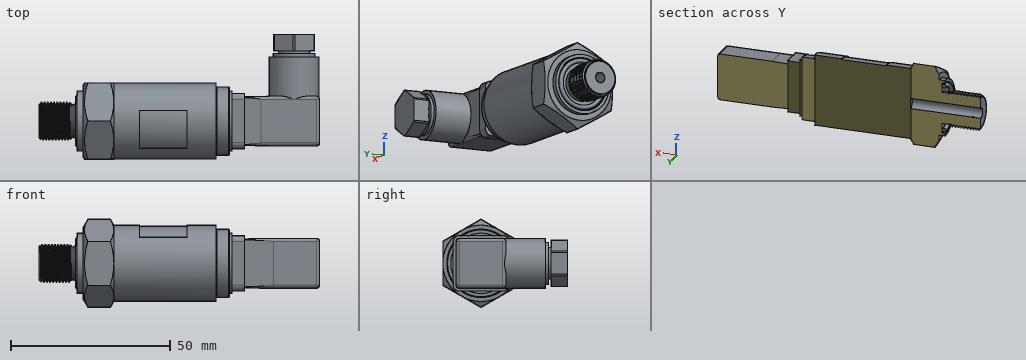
import cadquery as cq
import math


THREAD_END = 10.4
ORING_START = 11.6
FLANGE_START = 12.0
HEX_START = 13.95
BARREL_START = 23.6
CAP_START = 55.7
DISC_START = 59.9
BASE_START = 60.7
PLUG_START = 64.7
PLUG_END = 88.3

THREAD_DIA = 11.9
ROOT_DIA = 10.8
TIP_DIA = 10.4
THREAD_PITCH = 1.0
CREST_WIDTH = THREAD_PITCH / 8
ROOT_WIDTH = THREAD_PITCH / 4
FIRST_CREST = 0.06
GROOVE_OVERCUT = 0.04
RELIEF_DIA = 10.4
RELIEF_END = 11.0
NECK_DIA = 10.8
BORE_DIA = 3.3

FLANGE_DIA = 19.0
SEAL_GROOVE_DIA = 16.95
ORING_DIA = 16.3
ORING_SECTION = 1.4

BARREL_DIA = 24.0
HEX_FLATS = BARREL_DIA
HEX_FACE_DIA = 22.6
HEX_CHAMFER_ANGLE = 30
PANEL_START = 31.7
PANEL_END = 46.6
PANEL_FROM_ANGLE = 43.9
PANEL_TO_ANGLE = 106.2
PANEL_DEPTH = 0.3

CAP_DIA = 21.5
CAP_CHAMFER = 0.3
DISC_DIA = 19.0
BASE_SIZE = 17.5
BASE_CORNER = 1.9

PLUG_SIZE = 15.7
PLUG_FILLET = 1.1
TAPER_DEPTH = 0.2
SIDE_TAPER_END = 73.8
TOP_TAPER_END = 69.8
OUTLET_X = 80.25
OUTLET_DIA = PLUG_SIZE
OUTLET_END = 20.2

WASHER_DIA = 13.2
WASHER_END = 21.3
SHANK_DIA = 10.0
NUT_START = 22.1
NUT_END = 27.3
NUT_FLATS = 13.0
NUT_CORNER_DIA = 14.65


def x_cylinder(diameter, start, end):
    return cq.Workplane("YZ", origin=(start, 0, 0)).circle(diameter / 2).extrude(end - start)


def y_cylinder(diameter, start, end):
    """Cylinder on the cable outlet axis, from y = start to y = end."""
    plane = cq.Plane(origin=(OUTLET_X, start, 0), xDir=(1, 0, 0), normal=(0, 1, 0))
    return cq.Workplane(plane).circle(diameter / 2).extrude(end - start)


def turned(profile):
    """Solid of revolution about the X axis from (x, radius) points."""
    return cq.Workplane("XY").polyline(profile).close().revolve(360, (0, 0, 0), (1, 0, 0))


def groove_turn():
    """One right-handed turn of the V groove about X, starting at +Z and x = 0."""
    crest_radius = THREAD_DIA / 2
    root_radius = ROOT_DIA / 2
    crest_gap = THREAD_PITCH - CREST_WIDTH
    flank_slope = (crest_gap - ROOT_WIDTH) / 2 / (crest_radius - root_radius)
    outer_half_width = crest_gap / 2 + GROOVE_OVERCUT * flank_slope
    helix = cq.Wire.makeHelix(THREAD_PITCH, THREAD_PITCH, root_radius)
    groove = (
        cq.Workplane("XZ")
        .polyline([
            (root_radius, -ROOT_WIDTH / 2),
            (crest_radius + GROOVE_OVERCUT, -outer_half_width),
            (crest_radius + GROOVE_OVERCUT, outer_half_width),
            (root_radius, ROOT_WIDTH / 2),
        ])
        .close()
        .sweep(cq.Workplane("XY").newObject([helix]), isFrenet=True)
    )
    return groove.rotate((0, 0, 0), (0, 0, 1), 180).rotate((0, 0, 0), (0, 1, 0), 90)


def threaded_stem():
    """Thread chamfered at both ends, then a shallow relief and a short neck."""
    tip_chamfer = (THREAD_DIA - TIP_DIA) / 2
    run_out = (THREAD_DIA - RELIEF_DIA) / 2
    shank = turned([
        (0, 0),
        (0, TIP_DIA / 2),
        (tip_chamfer, THREAD_DIA / 2),
        (THREAD_END - run_out, THREAD_DIA / 2),
        (THREAD_END, RELIEF_DIA / 2),
        (THREAD_END, 0),
    ])
    groove = groove_turn()
    groove_start = FIRST_CREST - THREAD_PITCH / 2
    turns = math.ceil((THREAD_END - groove_start) / THREAD_PITCH)
    for turn in range(turns):
        shank = shank.cut(groove.translate((groove_start + turn * THREAD_PITCH, 0, 0)), clean=False)
    relief = x_cylinder(RELIEF_DIA, THREAD_END, RELIEF_END)
    neck = x_cylinder(NECK_DIA, RELIEF_END, HEX_START)
    return shank.union(relief).union(neck)


def sealing_flange():
    """Collar with an open groove around the neck for the O-ring."""
    groove_floor = ORING_START + ORING_SECTION
    return turned([
        (HEX_START, 0),
        (groove_floor, 0),
        (groove_floor, SEAL_GROOVE_DIA / 2),
        (FLANGE_START, SEAL_GROOVE_DIA / 2),
        (FLANGE_START, FLANGE_DIA / 2),
        (HEX_START, FLANGE_DIA / 2),
    ])


def hexagon():
    """Hexagon with corners at +Z and -Z, its corners chamfered by a cone at each end."""
    corner_radius = HEX_FLATS / 2 / math.cos(math.radians(30))
    slope = math.tan(math.radians(HEX_CHAMFER_ANGLE))
    front_chamfer = (corner_radius - HEX_FACE_DIA / 2) * slope
    rear_chamfer = (corner_radius - BARREL_DIA / 2) * slope
    prism = (
        cq.Workplane("YZ", origin=(HEX_START, 0, 0))
        .polygon(6, 2 * corner_radius)
        .extrude(BARREL_START - HEX_START)
        .rotate((0, 0, 0), (1, 0, 0), 90)
    )
    envelope = turned([
        (HEX_START, 0),
        (HEX_START, HEX_FACE_DIA / 2),
        (HEX_START + front_chamfer, corner_radius),
        (BARREL_START - rear_chamfer, corner_radius),
        (BARREL_START, BARREL_DIA / 2),
        (BARREL_START, 0),
    ])
    return prism.intersect(envelope)


def make_fitting():
    body = threaded_stem().union(sealing_flange()).union(hexagon())
    return body.cut(x_cylinder(BORE_DIA, 0, BARREL_START))


def make_oring():
    section_radius = ORING_SECTION / 2
    ring_radius = ORING_DIA / 2 - section_radius
    return (
        cq.Workplane("XY")
        .center(ORING_START + section_radius, ring_radius)
        .circle(section_radius)
        .revolve(360, (-0.9, -ring_radius), (0.9, -ring_radius))
    )


def make_barrel():
    """Plain cylinder with a shallow curved panel sunk into its upper side."""
    panel = (
        cq.Workplane("XY")
        .moveTo(PANEL_START, BARREL_DIA / 2 - PANEL_DEPTH)
        .lineTo(PANEL_END, BARREL_DIA / 2 - PANEL_DEPTH)
        .lineTo(PANEL_END, BARREL_DIA)
        .lineTo(PANEL_START, BARREL_DIA)
        .close()
        .revolve(PANEL_TO_ANGLE - PANEL_FROM_ANGLE, (0, 0, 0), (1, 0, 0))
        .rotate((0, 0, 0), (1, 0, 0), 180 - PANEL_TO_ANGLE)
    )
    return x_cylinder(BARREL_DIA, BARREL_START, CAP_START).cut(panel)


def make_cap():
    return x_cylinder(CAP_DIA, CAP_START, DISC_START).edges().chamfer(CAP_CHAMFER)


def make_disc():
    return x_cylinder(DISC_DIA, DISC_START, BASE_START)


def make_base():
    return (
        cq.Workplane("YZ", origin=(BASE_START, 0, 0))
        .rect(BASE_SIZE, BASE_SIZE)
        .extrude(PLUG_START - BASE_START)
        .edges("|X")
        .fillet(BASE_CORNER)
    )


def taper_wedge(taper_end):
    """Wedge that slopes the +Z face inward from taper_end to the plug's base end."""
    half = PLUG_SIZE / 2
    return (
        cq.Workplane("XZ")
        .polyline([
            (PLUG_START, half - TAPER_DEPTH),
            (taper_end, half),
            (PLUG_START, half),
        ])
        .close()
        .extrude(half, both=True)
    )


def make_plug():
    block = (
        cq.Workplane("YZ", origin=(PLUG_START, 0, 0))
        .rect(PLUG_SIZE, PLUG_SIZE)
        .extrude(PLUG_END - PLUG_START)
        .edges("|X or >X")
        .fillet(PLUG_FILLET)
    )
    for quarter, taper_end in enumerate([TOP_TAPER_END, SIDE_TAPER_END] * 2):
        block = block.cut(taper_wedge(taper_end).rotate((0, 0, 0), (1, 0, 0), 90 * quarter))
    return block.union(y_cylinder(OUTLET_DIA, 0, OUTLET_END))


def make_washer():
    hole = y_cylinder(SHANK_DIA, OUTLET_END, WASHER_END)
    return y_cylinder(WASHER_DIA, OUTLET_END, WASHER_END).cut(hole)


def make_gland_nut():
    """Hexagon nut with corners at +Z and -Z turned down, on a shank through the washer."""
    plane = cq.Plane(origin=(OUTLET_X, NUT_START, 0), xDir=(0, 0, 1), normal=(0, 1, 0))
    corner_dia = NUT_FLATS / math.cos(math.radians(30))
    prism = cq.Workplane(plane).polygon(6, corner_dia).extrude(NUT_END - NUT_START)
    head = prism.intersect(y_cylinder(NUT_CORNER_DIA, NUT_START, NUT_END))
    return head.union(y_cylinder(SHANK_DIA, OUTLET_END, NUT_START))


fitting = make_fitting()
oring = make_oring()
barrel = make_barrel()
cap = make_cap()
disc = make_disc()
base = make_base()
plug = make_plug()
washer = make_washer()
gland_nut = make_gland_nut()

result = cq.Compound.makeCompound([
    fitting.solids().val(),
    oring.solids().val(),
    barrel.solids().val(),
    cap.solids().val(),
    disc.solids().val(),
    base.solids().val(),
    plug.solids().val(),
    washer.solids().val(),
    gland_nut.solids().val(),
])